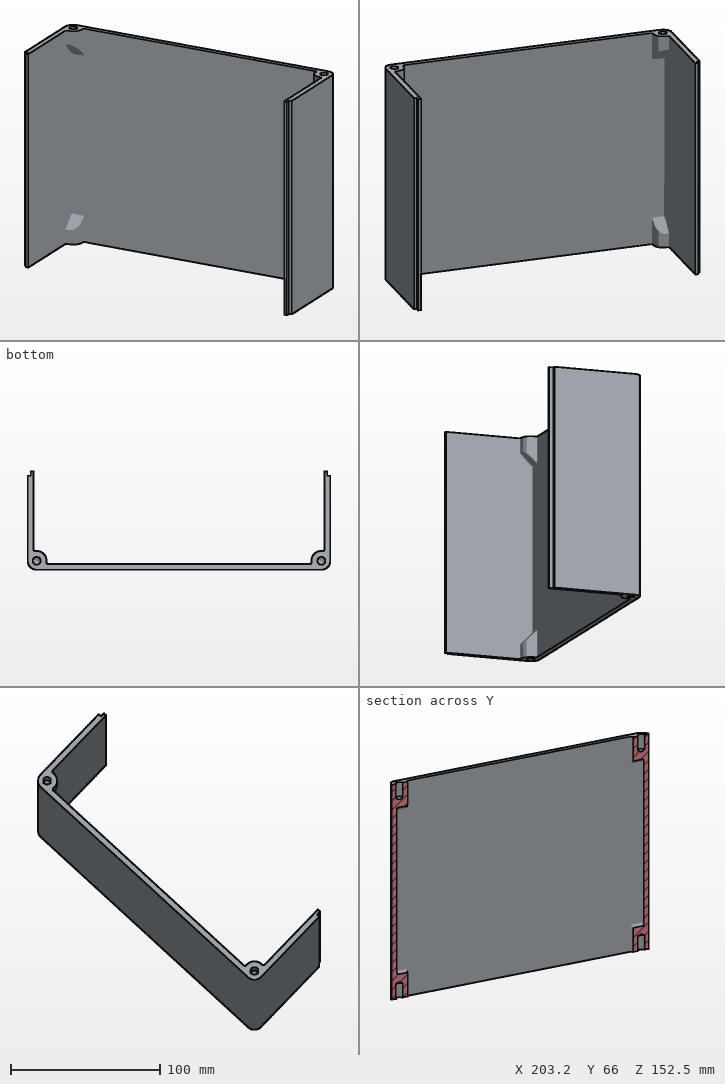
import cadquery as cq
import math

WIDTH = 203.2
DEPTH = 66.0
HEIGHT = 152.5
WALL = 4.0
CORNER_RADIUS = 6.0

LIP_THICKNESS = 2.0
LIP_LENGTH = 2.8

BOSS_RADIUS = 6.7
BOSS_LENGTH = 18.9
BOSS_EDGE_FILLET = 0.8
ROOT_FILLET = 1.0
SLOPE_ANGLE = 45.0
SCREW_INSET = 6.0
HOLE_RADIUS = 2.6
HOLE_DEPTH = 10.2
DRILL_TIP_ANGLE = 118.0

BACK = DEPTH / 2
FRONT = -DEPTH / 2
LEFT = -WIDTH / 2
BOTTOM = -HEIGHT / 2
HOLE_X = LEFT + SCREW_INSET
HOLE_Y = BACK - SCREW_INSET


def block(x_min, x_max, y_min, y_max):
    """Full-height block between the given X and Y limits."""
    size_x = x_max - x_min
    size_y = y_max - y_min
    centre = ((x_min + x_max) / 2, (y_min + y_max) / 2, 0)
    return cq.Workplane("XY").box(size_x, size_y, HEIGHT).translate(centre)


def mirror_quarter(quarter):
    """Mirror the bottom-left quarter to complete the part."""
    both_sides = quarter.union(quarter.mirror("YZ"))
    return both_sides.union(both_sides.mirror("XY"))


def make_shell():
    """U-shaped shell with rounded back corners and stepped free edges."""
    outer = block(LEFT, -LEFT, FRONT, BACK)
    outer = outer.edges("|Z and >Y").fillet(CORNER_RADIUS)
    cavity = block(LEFT + WALL, -LEFT - WALL, FRONT - WALL, BACK - WALL)
    cavity = cavity.edges("|Z and >Y").fillet(CORNER_RADIUS - WALL)
    step_width = WALL - LIP_THICKNESS
    step = block(LEFT, LEFT + step_width, FRONT, FRONT + LIP_LENGTH)
    return outer.cut(cavity).cut(step).cut(step.mirror("YZ"))


def make_boss():
    """Bottom-left boss whose inner end slopes down away from the back panel."""
    size = SCREW_INSET + BOSS_RADIUS
    boss = (
        cq.Workplane("XY", origin=(LEFT, BACK, BOTTOM))
        .rect(size, -size, centered=False)
        .extrude(BOSS_LENGTH)
        .edges("|Z and >X and <Y")
        .fillet(BOSS_RADIUS)
    )
    slope_run = size - WALL
    slope_drop = slope_run * math.tan(math.radians(SLOPE_ANGLE))
    slope_cut = (
        cq.Workplane("YZ", origin=(LEFT, BACK - WALL, BOTTOM + BOSS_LENGTH))
        .polyline([(0, 0), (-slope_run, 0), (-slope_run, -slope_drop)])
        .close()
        .extrude(size)
    )
    boss = boss.cut(slope_cut)
    overlap = WALL / 2
    envelope = block(LEFT + overlap, 0, FRONT, BACK - overlap)
    sloped_end = boss.faces(">Z or (not(#Z or |Z))")
    rim = sloped_end.edges("not(<X or |X or <Z)")
    return rim.fillet(BOSS_EDGE_FILLET).intersect(envelope)


def make_screw_hole():
    """Bottom-left blind screw hole with a conical drill tip."""
    tip_length = HOLE_RADIUS / math.tan(math.radians(DRILL_TIP_ANGLE / 2))
    return (
        cq.Workplane("XZ", origin=(HOLE_X, HOLE_Y, BOTTOM))
        .lineTo(HOLE_RADIUS, 0)
        .lineTo(HOLE_RADIUS, HOLE_DEPTH)
        .lineTo(0, HOLE_DEPTH + tip_length)
        .close()
        .revolve(360, (0, 0, 0), (0, 1, 0))
    )


def blend_boss_roots(body):
    """Round the concave edges where every boss meets the inside of the shell."""
    half_band = 0.05
    boss_size = SCREW_INSET + BOSS_RADIUS
    wall_face = LEFT + WALL
    panel_face = BACK - WALL
    corner_x = LEFT + CORNER_RADIUS
    corner_y = BACK - CORNER_RADIUS
    top = BOTTOM + BOSS_LENGTH + half_band
    inner_bottom = BOTTOM + half_band
    along_panel = cq.selectors.BoxSelector(
        (corner_x, panel_face - half_band, inner_bottom),
        (LEFT + boss_size + half_band, panel_face + half_band, top),
    )
    along_wall = cq.selectors.BoxSelector(
        (wall_face - half_band, BACK - boss_size - half_band, inner_bottom),
        (wall_face + half_band, corner_y, top),
    )
    quarter_block = cq.Workplane("XY").box(-LEFT, DEPTH, -BOTTOM)
    quarter = body.intersect(quarter_block.translate((LEFT / 2, 0, BOTTOM / 2)))
    edges = quarter.edges(along_panel + along_wall)
    return edges.fillet(ROOT_FILLET)


corner_quarter = blend_boss_roots(make_shell().union(make_boss()))
result = mirror_quarter(corner_quarter.cut(make_screw_hole()))